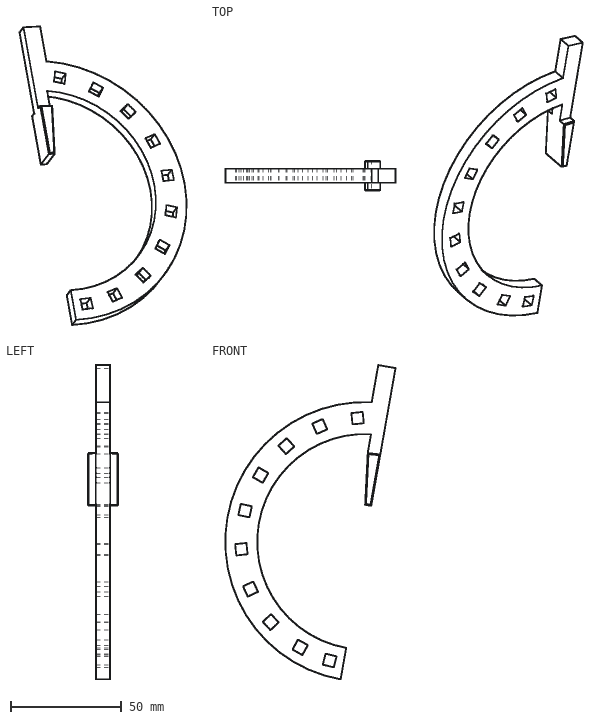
import cadquery as cq

LEAN_ANGLE = 10.0
PLATE_THICKNESS = 6.35

OUTER_RADIUS = 63.0
INNER_RADIUS = 48.5
MID_RADIUS = (OUTER_RADIUS + INNER_RADIUS) / 2

BAR_WIDTH = 8.0
BAR_TOP = 79.5
NECK_WIDTH = 5.8

BLADE_TOP = 40.0
BLADE_TOP_DROP = 0.4
BLADE_BOTTOM = 16.4
BLADE_TIP_WIDTH = 2.9
BLADE_DEPTH = 13.7
BLADE_BEVEL = 0.5

HOLE_SIDE = 5.0
HOLE_ANGLES = (106, 124, 142, 160, 178, 196, 215, 233, 251, 266)


def slab(outline, thickness):
    """Extrude a closed XZ outline symmetrically about the XZ plane."""
    return outline.extrude(thickness / 2, both=True)


def make_arm():
    """Half ring on the -X side of the vertical diameter."""
    outline = (
        cq.Workplane("XZ")
        .moveTo(0, -OUTER_RADIUS)
        .threePointArc((-OUTER_RADIUS, 0), (0, OUTER_RADIUS))
        .lineTo(0, INNER_RADIUS)
        .threePointArc((-INNER_RADIUS, 0), (0, -INNER_RADIUS))
        .close()
    )
    return slab(outline, PLATE_THICKNESS)


def make_bar():
    """Wide bar above the arm's mid radius and narrower neck below it."""
    outline = cq.Workplane("XZ").polyline([
        (0, BAR_TOP),
        (-BAR_WIDTH, BAR_TOP),
        (-BAR_WIDTH, MID_RADIUS),
        (-NECK_WIDTH, MID_RADIUS),
        (-NECK_WIDTH, BLADE_TOP - BLADE_TOP_DROP),
        (0, BLADE_TOP),
    ]).close()
    return slab(outline, PLATE_THICKNESS)


def make_blade():
    """Wedge narrowing downward, bevelled around both end faces."""
    outline = cq.Workplane("XZ").polyline([
        (0, BLADE_TOP),
        (-NECK_WIDTH, BLADE_TOP - BLADE_TOP_DROP),
        (-BLADE_TIP_WIDTH, BLADE_BOTTOM),
        (0, BLADE_BOTTOM),
    ]).close()
    return slab(outline, BLADE_DEPTH).faces("<Y or >Y").edges().chamfer(BLADE_BEVEL)


def make_hole_cutter(angle):
    """Square through-cutter on the arm's mid radius, swung to the given angle."""
    outline = (
        cq.Workplane("XZ")
        .center(MID_RADIUS, -HOLE_SIDE / 2)
        .rect(HOLE_SIDE, HOLE_SIDE)
    )
    return slab(outline, 2 * PLATE_THICKNESS).rotate((0, 0, 0), (0, -1, 0), angle)


body = make_arm().union(make_bar()).union(make_blade())
for hole_angle in HOLE_ANGLES:
    body = body.cut(make_hole_cutter(hole_angle))

result = body.rotate((0, 0, 0), (0, 1, 0), LEAN_ANGLE)